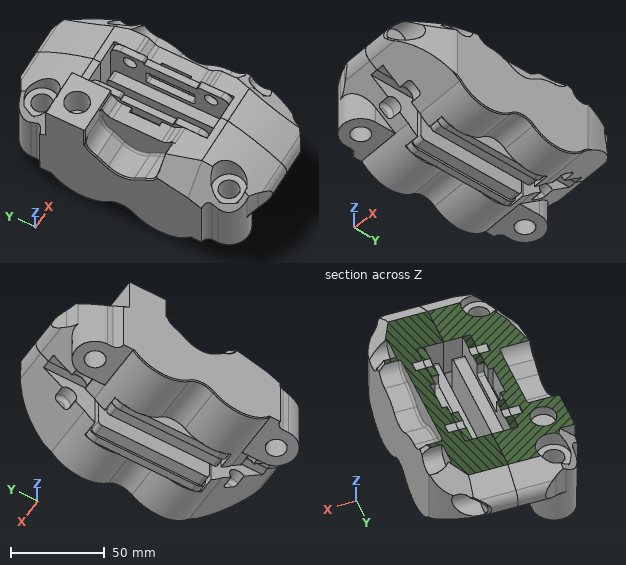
import cadquery as cq
import math


LEFT_FACE = -44.2
RIGHT_FACE = 38.8
HALF_LENGTH = 76.8
BLOCK_TOP = 65.7
BIG = 153.5

ROOF_Z = 62.3
ROOF_END_Y = 41.0
ROOF_MID = (58.3, 54.7)
NOSE_Z = 38.8
NOSE_R = 7.7
NOSE_Y = HALF_LENGTH - NOSE_R
NOSE_TOP_ANGLE = math.radians(55)
FLAT_Z = 9.2
FLAT_Y = 43.1
LOBE_Y = 24.0
LOBE_R = (FLAT_Y - LOBE_Y) ** 2 / (2 * FLAT_Z) + FLAT_Z / 2
RIM_CHAMFER = 0.6

BOSS_X = -27.8
BOSS_Y = 57.0
BOSS_R = 12.3
BOSS_TOP = 47.6
BOSS_SPOT_R = 9.7
BOSS_SPOT_Z = 44.7
BOSS_HOLE_R = 5.8
WEB_FILLET_R = -40.0 - LEFT_FACE
WEB_EDGE_Y = 49.3
WEB_ROOT_Y = 41.6
SHOULDER_X = -30.1
SHOULDER_Y = BOSS_Y + math.sqrt(BOSS_R**2 - (SHOULDER_X - BOSS_X) ** 2)

LEFT_CREST_X = -28.9
RIGHT_CREST_X = 23.6
LEFT_CHAMFER_SLOPE = 1.04
RIGHT_CHAMFER_SLOPE = 1.02
MIDDLE_FALL = 0.3
END_FALL = 0.52

WINDOW_X = 15.0
WINDOW_Y = 36.5
DISC_SLOT_X = 4.9
DISC_SLOT_TOP = 29.0

FRICTION_FACE_X = 4.1
PLATE_FACE_X = 10.9
PLATE_BOTTOM = 1.2
PLATE_MIDDLE_TOP = 60.3
PLATE_STEP_Y = 16.1
PLATE_STEP_R = 1.0
PLATE_CORNER_R = 5.8
FRICTION_Y = 34.8
FRICTION_BOTTOM = 2.8
FRICTION_TOP = 41.5
FRICTION_CORNER_R = 2.5
PIN_Y = 24.7
PIN_Z = 55.9
PIN_R = 4.0
PIN_BORE_DEPTH = 6.1
PLATE_SLOT_Y = 14.9
PLATE_SLOT_BOTTOM = 44.5
PLATE_SLOT_TOP = 53.7
PLATE_SLOT_CORNER_R = 1.5

DIP_Z = 58.0
DIP_FLOOR_Y = 15.0
DIP_TOP_Y = 23.3
DIP_SLOPE = [(17.7, 59.0), (21.0, 61.5)]
SCALLOP_WALL_X = 26.1
SCALLOP_FILLET = 1.4
SCALLOP_RIM = 0.8
SCALLOP_BOTTOM = 37.8
SCALLOP_LOW = (8.0, 40.4)

BLOCK_X = -WINDOW_X
BLOCK_Y = (22.0, 45.6)
BLOCK_BASE = 38.4
INLET = (-30.4, 34.1)
INLET_R = 7.0
INLET_DEPTH = 18.4

BOLTS = [(NOSE_Y, NOSE_Z, 6.9, 16.9), (41.6, 50.2, 7.2, 27.6)]

NOTCH_X = 17.8
NOTCH_Y = 9.0
NOTCH_FLOOR = 38.4
GROOVE_X = 13.5
GROOVE_Y = 53.1
GROOVE_Z = 16.9
GROOVE_R = 5.0
GROOVE_END_R = 2.5


def box(x, y, z):
    """Box between two X, two Y and two Z values, each pair in any order."""
    size = [abs(pair[1] - pair[0]) for pair in (x, y, z)]
    middle = [(pair[0] + pair[1]) / 2 for pair in (x, y, z)]
    return cq.Workplane("XY").box(*size).translate(tuple(middle))


def rod(y, z, radius, x_from, x_to):
    """Cylinder along X."""
    return cq.Workplane("YZ", origin=(x_from, 0, 0)).center(y, z).circle(radius).extrude(x_to - x_from)


def side_profile(x_face):
    """Closed YZ outline of the caliper extruded from the split plane to one outer face."""
    nose_top = (
        NOSE_Y + NOSE_R * math.cos(NOSE_TOP_ANGLE),
        NOSE_Z + NOSE_R * math.sin(NOSE_TOP_ANGLE),
    )
    to_nose = (NOSE_Y - FLAT_Y, NOSE_Z - FLAT_Z)
    ramp = math.atan2(to_nose[1], to_nose[0]) - math.asin(NOSE_R / math.hypot(*to_nose))
    nose_low = (NOSE_Y + NOSE_R * math.sin(ramp), NOSE_Z - NOSE_R * math.cos(ramp))
    rise = LOBE_R - FLAT_Z
    dip_r = (LOBE_Y**2 + rise**2 - LOBE_R**2) / (2 * (LOBE_R - rise))
    share = dip_r / (dip_r + LOBE_R)
    dip_end = (LOBE_Y * share, FLAT_Z - dip_r + (rise + dip_r) * share)

    def left(point):
        return (-point[0], point[1])

    return (
        cq.Workplane("YZ")
        .moveTo(-ROOF_END_Y, ROOF_Z)
        .lineTo(ROOF_END_Y, ROOF_Z)
        .threePointArc(ROOF_MID, nose_top)
        .threePointArc((HALF_LENGTH, NOSE_Z), nose_low)
        .lineTo(FLAT_Y, FLAT_Z)
        .threePointArc((LOBE_Y, 0), dip_end)
        .threePointArc((0, FLAT_Z), left(dip_end))
        .threePointArc((-LOBE_Y, 0), (-FLAT_Y, FLAT_Z))
        .lineTo(*left(nose_low))
        .threePointArc((-HALF_LENGTH, NOSE_Z), left(nose_top))
        .threePointArc(left(ROOF_MID), (-ROOF_END_Y, ROOF_Z))
        .close()
        .extrude(x_face)
        .faces("<X" if x_face < 0 else ">X")
        .edges()
        .chamfer(RIM_CHAMFER)
    )


def left_plan():
    """Outline of the left half seen along Z, with a round shoulder at each boss."""
    shoulder = (-23.2, 72.2)
    shoulder_mid = (-26.5, 70.3)
    half_turn = BOSS_R * math.sqrt(0.5)
    boss_mid = (BOSS_X - half_turn, BOSS_Y + half_turn)
    web_x = LEFT_FACE + WEB_FILLET_R
    sag = WEB_FILLET_R * math.sqrt(0.5)
    web_mid = (LEFT_FACE + sag, WEB_EDGE_Y + WEB_FILLET_R - sag)
    half = (
        cq.Workplane("XY")
        .lineTo(0, HALF_LENGTH)
        .lineTo(-15.7, HALF_LENGTH)
        .lineTo(*shoulder)
        .threePointArc(shoulder_mid, (SHOULDER_X, SHOULDER_Y))
        .threePointArc(boss_mid, (BOSS_X - BOSS_R, BOSS_Y))
        .lineTo(web_x, WEB_EDGE_Y + WEB_FILLET_R)
        .threePointArc(web_mid, (LEFT_FACE, WEB_EDGE_Y))
        .lineTo(LEFT_FACE, 0)
        .close()
        .extrude(BIG)
    )
    return half.union(half.mirror("XZ"))


def right_plan():
    """Outline of the right half seen along Z: a straight side with a large arc at each end."""
    arc_start = (15.0, HALF_LENGTH)
    arc_mid = (30.9, 64.3)
    arc_end = (RIGHT_FACE, 45.3)
    half = (
        cq.Workplane("XY")
        .lineTo(0, HALF_LENGTH)
        .lineTo(*arc_start)
        .threePointArc(arc_mid, arc_end)
        .lineTo(RIGHT_FACE, 0)
        .close()
        .extrude(BIG)
    )
    return half.union(half.mirror("XZ"))


def chamfer_side(half, crest_x, slope):
    """Cut sloping planes along one top edge at the -Y end; they fall faster past the flat roof."""
    for fall in (MIDDLE_FALL, END_FALL):
        plane = cq.Plane(
            origin=(crest_x, -ROOF_END_Y, ROOF_Z),
            xDir=(0, 1, fall),
            normal=(math.copysign(slope, crest_x), -fall, 1),
        )
        half = half.cut(cq.Workplane(plane).rect(2 * BIG, 2 * BIG).extrude(BIG))
    return half


def both_ends(half):
    """Keep the -Y end of a half and mirror it to the +Y end."""
    end = half.intersect(box((-BIG, BIG), (-BIG, 0), (-BIG, BIG)))
    return end.union(end.mirror("XZ"))


def cut_window(half):
    """Open the pad window, the disc slot, the end grooves and the pin bores."""
    half = half.cut(box((-WINDOW_X, WINDOW_X), (-WINDOW_Y, WINDOW_Y), (-1.5, BIG)))
    half = half.cut(box((-DISC_SLOT_X, DISC_SLOT_X), (-BIG, BIG), (-1.5, DISC_SLOT_TOP)))
    notch_x = (-NOTCH_X, NOTCH_X)
    half = half.cut(box(notch_x, (-NOTCH_Y, NOTCH_Y), (NOTCH_FLOOR, BIG)))
    bore_end = WINDOW_X + PIN_BORE_DEPTH
    for end in (1, -1):
        half = half.cut(rod(end * PIN_Y, PIN_Z, PIN_R, -bore_end, bore_end))
    for end in (1, -1):
        groove = rod(end * GROOVE_Y, GROOVE_Z, GROOVE_R, -GROOVE_X, GROOVE_X)
        half = half.cut(groove.edges().fillet(GROOVE_END_R))
    return half


def cut_roof_dip(half):
    """Lower the middle of the roof between the scallop walls, with a smooth step at both ends."""
    cutter = (
        cq.Workplane("YZ", origin=(-SCALLOP_WALL_X, 0, 0))
        .moveTo(0, DIP_Z)
        .lineTo(DIP_FLOOR_Y, DIP_Z)
        .tangentArcPoint(DIP_SLOPE[0], relative=False)
        .lineTo(*DIP_SLOPE[1])
        .tangentArcPoint((DIP_TOP_Y, ROOF_Z), relative=False)
        .lineTo(DIP_TOP_Y, BLOCK_TOP)
        .lineTo(0, BLOCK_TOP)
        .close()
        .extrude(2 * SCALLOP_WALL_X)
    )
    return half.cut(cutter).cut(cutter.mirror("XZ"))


def left_scallop():
    """Cutter for the hollow in the outer side of the left half."""
    high = (BLOCK_Y[0], 56.3)
    high_mid = (20.0, 49.5)
    low_end = (14.6, 45.3)
    return (
        cq.Workplane("YZ", origin=(-SCALLOP_WALL_X, 0, 0))
        .moveTo(-high[0], BIG)
        .lineTo(-high[0], high[1])
        .threePointArc((-high_mid[0], high_mid[1]), (-low_end[0], low_end[1]))
        .lineTo(-SCALLOP_LOW[0], SCALLOP_LOW[1])
        .threePointArc((0, SCALLOP_BOTTOM), SCALLOP_LOW)
        .lineTo(*low_end)
        .threePointArc(high_mid, high)
        .lineTo(high[0], BIG)
        .close()
        .extrude(-BIG)
        .faces(">X")
        .edges()
        .fillet(SCALLOP_FILLET)
    )


def right_scallop():
    """Cutter for the wider hollow in the outer side of the right half, which rides over both lobes."""
    crown = (22.4, 45.1)
    flank_r = 9.8
    flank = (crown[0] + flank_r, crown[1] + flank_r)
    half = (
        cq.Workplane("YZ", origin=(SCALLOP_WALL_X, 0, 0))
        .moveTo(-flank[0], BIG)
        .lineTo(-flank[0], flank[1])
        .tangentArcPoint((-crown[0], crown[1]), relative=False)
        .tangentArcPoint((-SCALLOP_LOW[0], SCALLOP_LOW[1]), relative=False)
        .threePointArc((0, SCALLOP_BOTTOM), SCALLOP_LOW)
        .tangentArcPoint(crown, relative=False)
        .tangentArcPoint(flank, relative=False)
        .lineTo(flank[0], BIG)
        .close()
        .extrude(BIG)
    )
    return half.faces("<X").edges().fillet(SCALLOP_FILLET)


def boss_blank():
    """Mounting boss at the -Y end and the web joining it to the outer face, on the flat underside."""
    right = BOSS_X + BOSS_R
    diagonal = BOSS_R * math.sqrt(0.5)
    return (
        cq.Workplane("XY", origin=(0, 0, FLAT_Z))
        .moveTo(LEFT_FACE, -WEB_ROOT_Y)
        .lineTo(right, -WEB_ROOT_Y)
        .lineTo(right, -BOSS_Y)
        .threePointArc((BOSS_X + diagonal, -BOSS_Y - diagonal), (SHOULDER_X, -SHOULDER_Y))
        .lineTo(SHOULDER_X, -HALF_LENGTH)
        .lineTo(LEFT_FACE, -HALF_LENGTH)
        .close()
        .extrude(BOSS_TOP - FLAT_Z)
    )


def inlet_block():
    block = box((LEFT_FACE, BLOCK_X), BLOCK_Y, (BLOCK_BASE, BLOCK_TOP))
    hole = cq.Workplane("XY", origin=(*INLET, BLOCK_TOP)).circle(INLET_R).extrude(-INLET_DEPTH)
    return block, hole


def make_left_half():
    half = side_profile(LEFT_FACE).union(boss_blank()).intersect(left_plan())
    half = both_ends(chamfer_side(half, LEFT_CREST_X, LEFT_CHAMFER_SLOPE))
    half = cut_roof_dip(half)
    block, inlet_hole = inlet_block()
    half = half.union(block).cut(inlet_hole)
    half = half.cut(left_scallop())
    for end in (1, -1):
        spot = cq.Workplane("XY", origin=(BOSS_X, end * BOSS_Y, BOSS_SPOT_Z))
        half = half.cut(spot.circle(BOSS_SPOT_R).extrude(BIG))
        half = half.cut(spot.circle(BOSS_HOLE_R).extrude(-BIG))
    half = cut_window(half)
    rim = cq.selectors.BoxSelector(
        (LEFT_FACE - 1.5, -BLOCK_Y[0] - 0.2, SCALLOP_BOTTOM - 1.5),
        (LEFT_FACE + 0.2, BLOCK_Y[0] + 0.2, BLOCK_TOP - 1.5),
    )
    return half.edges(rim).chamfer(SCALLOP_RIM)


def make_right_half():
    half = side_profile(RIGHT_FACE).intersect(right_plan())
    half = both_ends(chamfer_side(half, RIGHT_CREST_X, RIGHT_CHAMFER_SLOPE))
    half = cut_roof_dip(half)
    half = half.cut(right_scallop())
    for y, z, radius, floor_x in BOLTS:
        for end in (1, -1):
            half = half.cut(rod(end * y, z, radius, floor_x, BIG))
    return cut_window(half)


def make_pad(side):
    """Brake pad: a backing plate with pin holes and a slot, and the friction block on its face."""
    plate_x = (side * PLATE_FACE_X, side * WINDOW_X)
    plate = box(plate_x, (-WINDOW_Y, WINDOW_Y), (PLATE_BOTTOM, ROOF_Z))
    plate = plate.edges("|X and >Z").fillet(PLATE_CORNER_R)
    plate = plate.edges("|X and <Z").fillet(PLATE_CORNER_R)
    plate = plate.cut(box(plate_x, (-PLATE_STEP_Y, PLATE_STEP_Y), (PLATE_MIDDLE_TOP, BIG)))
    for end in (1, -1):
        step = cq.selectors.BoxSelector(
            (-BIG, end * PLATE_STEP_Y - 0.2, ROOF_Z - 0.2),
            (BIG, end * PLATE_STEP_Y + 0.2, ROOF_Z + 0.2),
        )
        plate = plate.edges(step).fillet(PLATE_STEP_R)
    slot = box(plate_x, (-PLATE_SLOT_Y, PLATE_SLOT_Y), (PLATE_SLOT_BOTTOM, PLATE_SLOT_TOP))
    plate = plate.cut(slot.edges("|X").fillet(PLATE_SLOT_CORNER_R))
    for end in (1, -1):
        plate = plate.cut(rod(end * PIN_Y, PIN_Z, PIN_R, *plate_x))
    friction_x = (side * FRICTION_FACE_X, side * PLATE_FACE_X)
    friction = box(friction_x, (-FRICTION_Y, FRICTION_Y), (FRICTION_BOTTOM, FRICTION_TOP))
    return plate.union(friction.edges("|X").fillet(FRICTION_CORNER_R))


left_half = make_left_half()
right_half = make_right_half()
pads = [make_pad(side) for side in (-1, 1)]

result = cq.Compound.makeCompound([left_half.val(), right_half.val(), *[pad.val() for pad in pads]])